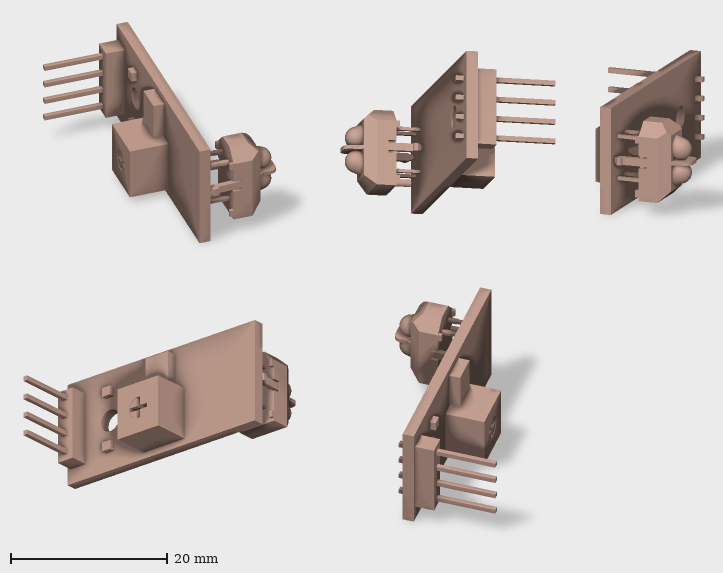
import cadquery as cq
import math


board_length = 31.2
board_height = 14.1
board_thickness = 1.5
mount_hole_diameter = 3.0
mount_hole_x = -8.52

header_x = -13.85
header_width = 2.5
header_depth = 2.55
header_height = 9.9
pin_count = 4
pin_row_length = 7.6
pin_pitch = pin_row_length / (pin_count - 1)
pin_side = 0.62
pin_front_length = 7.95
pin_back_length = 1.03

light_x = mount_hole_x
light_width = 1.3
light_height = 1.25
light_depth = 0.8
light_z = 3.85

chip_x = 0.5
chip_z = 3.65
chip_width = 3.75
chip_height = 4.8
chip_depth = 1.5

trimmer_x = chip_x
trimmer_z = -2.65
trimmer_width = 6.77
trimmer_height = 7.05
trimmer_depth = 5.25
rotor_diameter = 3.0
rotor_length = 1.5
rotor_recess = 0.1
rotor_slot_width = 0.6
rotor_slot_depth = 1.0

sensor_x = 11.8
sensor_width = 5.8
sensor_height = 10.2
sensor_base_y = 4.95
sensor_shoulder_y = 7.52
sensor_top_y = 9.02
roof_side_inset = 1.03
roof_end_inset = 1.4
corner_chamfer = 1.7

lens_radius = 1.45
lens_y = 9.6
lens_z = 1.55
lens_tilt = 20.0
lens_stem_length = 1.87

fin_thickness = 0.5
fin_half_width = 1.5
fin_shoulder_y = 9.58
fin_tip_y = 11.48
fin_corner_radius = 0.95

lead_x_spacing = 2.53
lead_x_offset = lead_x_spacing / 2
lead_z_offset = 2.78
lead_width = 0.5
lead_thickness = 0.4
lead_collar_width = 0.7
lead_collar_start_y = 3.7
lead_collar_end_y = 4.52

foot_width = 0.5
foot_height = 0.95
foot_depth = 0.47
upper_foot_z = 2.95
lower_foot_z = -4.18
peg_radius = 0.47
peg_length = 1.95
peg_end_fillet = 0.1

clip_width = 1.0
clip_root_y = 6.02
clip_root_inner = 2.12
clip_root_outer = 2.85
clip_inner = 2.3
clip_outer = 3.03
clip_inner_bend_y = 2.93
hook_top_y = 2.85
hook_edge_y = 2.7
hook_bottom_y = 2.25
hook_reach = 3.45
clip_tip_outer = 2.75
clip_tip_width = 0.47
clip_slot_width = 1.62
clip_slot_depth = 0.5


def block(x, z, width, height, y_start, y_end):
    """Box centred on (x, z) that spans y_start to y_end."""
    return (
        cq.Workplane("XY")
        .box(width, y_end - y_start, height)
        .translate((x, (y_start + y_end) / 2, z))
    )


def rod(x, z, radius, y_start, y_end):
    """Round rod along Y, centred on (x, z)."""
    length = y_end - y_start
    return cq.Workplane("XZ", origin=(x, y_end, z)).circle(radius).extrude(length)


def plate_profile(points, thickness):
    """Closed XY outline extruded evenly to both sides of Z = 0."""
    return cq.Workplane("XY").polyline(points).close().extrude(thickness / 2, both=True)


def side_profile(points, width):
    """Closed YZ outline extruded evenly to both sides of X = 0."""
    return cq.Workplane("YZ").polyline(points).close().extrude(width / 2, both=True)


pin_heights = [(i - (pin_count - 1) / 2) * pin_pitch for i in range(pin_count)]


def make_board():
    board = block(0, 0, board_length, board_height, 0, board_thickness)
    board = board.cut(rod(mount_hole_x, 0, mount_hole_diameter / 2, 0, board_thickness))
    for z in pin_heights:
        board = board.cut(block(header_x, z, pin_side, pin_side, 0, board_thickness))
    return board


def make_header():
    header = block(header_x, 0, header_width, header_height, -header_depth, 0)
    front_y = -header_depth - pin_front_length
    back_y = board_thickness + pin_back_length
    for z in pin_heights:
        header = header.union(block(header_x, z, pin_side, pin_side, front_y, back_y))
    return header


def make_light(z):
    return block(light_x, z, light_width, light_height, -light_depth, 0)


def make_chip():
    return block(chip_x, chip_z, chip_width, chip_height, -chip_depth, 0)


rotor_face_y = -trimmer_depth + rotor_recess
rotor_back_y = rotor_face_y + rotor_length


def make_trimmer():
    body = block(trimmer_x, trimmer_z, trimmer_width, trimmer_height, -trimmer_depth, 0)
    return body.cut(rod(trimmer_x, trimmer_z, rotor_diameter / 2, -trimmer_depth, rotor_back_y))


def make_rotor():
    rotor = rod(trimmer_x, trimmer_z, rotor_diameter / 2, rotor_face_y, rotor_back_y)
    slot_floor_y = rotor_face_y + rotor_slot_depth
    for width, height in ((rotor_diameter, rotor_slot_width), (rotor_slot_width, rotor_diameter)):
        rotor = rotor.cut(block(trimmer_x, trimmer_z, width, height, rotor_face_y, slot_floor_y))
    return rotor



half_width = sensor_width / 2
half_height = sensor_height / 2


def roof_outline(half_span, inset):
    """Side-wall and sloping-roof outline as (span, y) points."""
    return [
        (-half_span, sensor_base_y),
        (half_span, sensor_base_y),
        (half_span, sensor_shoulder_y),
        (half_span - inset, sensor_top_y),
        (inset - half_span, sensor_top_y),
        (-half_span, sensor_shoulder_y),
    ]


def make_housing():
    housing = block(0, 0, sensor_width, sensor_height, sensor_base_y, sensor_top_y)
    housing = housing.edges("|Y and >Z").chamfer(corner_chamfer)
    side_roof = plate_profile(roof_outline(half_width, roof_side_inset), sensor_height)
    end_points = [(y, z) for z, y in roof_outline(half_height, roof_end_inset)]
    end_roof = side_profile(end_points, sensor_width)
    return housing.intersect(side_roof).intersect(end_roof)


def make_lens(side):
    """Domed lens; side is +1 for the upper lens and -1 for the lower one."""
    tilt = math.radians(lens_tilt)
    toward_housing = cq.Vector(0, -math.cos(tilt), side * math.sin(tilt))
    centre = cq.Vector(0, lens_y, side * lens_z)
    stem = cq.Solid.makeCylinder(lens_radius, lens_stem_length, centre, toward_housing)
    dome = cq.Workplane("XY").sphere(lens_radius).translate(centre)
    return dome.union(cq.Workplane(stem))


def make_fin():
    root = half_width - roof_side_inset
    points = [
        (-root, sensor_top_y),
        (root, sensor_top_y),
        (fin_half_width, fin_shoulder_y),
        (fin_half_width, fin_tip_y),
        (-fin_half_width, fin_tip_y),
        (-fin_half_width, fin_shoulder_y),
    ]
    fin = plate_profile(points, fin_thickness)
    tip_corners = fin.faces(">Y").edges("|Z")
    return tip_corners.fillet(fin_corner_radius)


def make_lead(x, z):
    shank = block(x, z, lead_width, lead_thickness, board_thickness, sensor_base_y)
    collar = block(x, z, lead_collar_width, lead_thickness, lead_collar_start_y, lead_collar_end_y)
    return shank.union(collar)


def make_foot(side, z):
    x = side * (half_width - foot_width / 2)
    return block(x, z, foot_width, foot_height, sensor_base_y - foot_depth, sensor_base_y)


def make_peg():
    """Round peg in the lower -X corner, flush with both outer walls."""
    x = peg_radius - half_width
    z = peg_radius - half_height
    peg = rod(x, z, peg_radius, sensor_base_y - peg_length, sensor_base_y)
    return peg.faces("<Y").edges().fillet(peg_end_fillet)


def make_clip():
    """Snap clip of the +X side, with a hook whose tip narrows toward the board."""
    clip = plate_profile(
        [
            (clip_root_inner, clip_root_y),
            (clip_root_outer, clip_root_y),
            (clip_outer, hook_top_y),
            (hook_reach, hook_edge_y),
            (hook_reach, hook_bottom_y),
            (clip_tip_outer, board_thickness),
            (clip_inner, board_thickness),
            (clip_inner, clip_inner_bend_y),
        ],
        clip_width,
    )
    narrowing = side_profile(
        [
            (clip_root_y, clip_width / 2),
            (hook_bottom_y, clip_width / 2),
            (board_thickness, clip_tip_width / 2),
            (board_thickness, -clip_tip_width / 2),
            (hook_bottom_y, -clip_width / 2),
            (clip_root_y, -clip_width / 2),
        ],
        2 * hook_reach,
    )
    return clip.intersect(narrowing)


def make_clip_slot(side):
    x = side * (half_width - clip_slot_depth / 2)
    return block(x, 0, clip_slot_depth, clip_slot_width, sensor_base_y, clip_root_y)


def make_sensor():
    sensor = make_housing().union(make_fin()).union(make_peg())
    clip = make_clip()
    for side in (-1, 1):
        sensor = sensor.cut(make_clip_slot(side)).union(make_lens(side))
        for z in (upper_foot_z, lower_foot_z):
            sensor = sensor.union(make_foot(side, z))
        for z in (-lead_z_offset, lead_z_offset):
            sensor = sensor.union(make_lead(side * lead_x_offset, z))
    sensor = sensor.union(clip).union(clip.mirror("YZ"))
    return sensor.translate((sensor_x, 0, 0))


board = make_board()
header = make_header()
lights = [make_light(z) for z in (-light_z, light_z)]
chip = make_chip()
trimmer = make_trimmer()
rotor = make_rotor()
sensor = make_sensor()

bodies = [board, header, *lights, chip, trimmer, rotor, sensor]
result = cq.Compound.makeCompound([body.solids().val() for body in bodies])